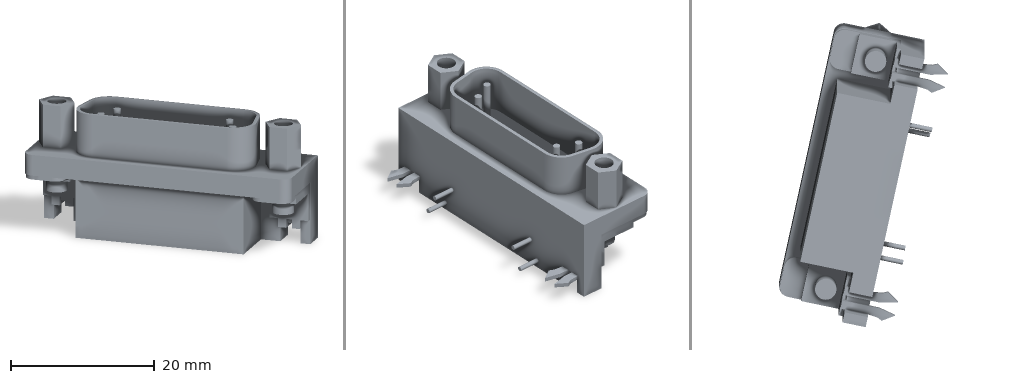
import cadquery as cq
import math


length = 39.2
back_y = 6.3
front_y = -6.27
flange_top = 12.0
flange_bottom = 8.98
flange_corner_radius = 1.4
core_width = 24.7
core_front_y = -4.55
rear_wall_front_y = 3.0

total_height = 18.2
shell_half_width = 12.85
shell_half_depth = 4.65
shell_slant = 10
shell_corner_radius = 3.1
shell_wall = 0.5
shell_floor = 11.52

contact_rows = [(9.7, -1.4, 1.1), (8.27, 1.45, 3.92)]
contact_diameter = 1.0
contact_top = 17.5
tail_diameter = 0.65
tail_end_y = 9.53

screw_x = 16.65
hex_across_flats = 4.5
bore_diameter = 2.65
screw_diameter = 2.98
screw_bottom = 5.3

bracket_width = 5.72
sheet = 0.6
plate_front_y = rear_wall_front_y - sheet
bracket_front_y = -6.2
bracket_corner_radius = 1.5
nut_front_y = -2.9
nut_bottom = 7.53
plate_bottom = 3.53
clip_bottom = 2.25
clip_top = clip_bottom + sheet
clip_width = 3.18
clip_gap = 0.82
slot_width = 2.95
clip_bend_y = 7.72
barb_y = 8.43
barb_half_width = 2.08
leg_flare = 0.15
tip_y = 10.07
tip_half_width = 0.98


def box(x_min, x_max, y_min, y_max, z_min, z_max):
    """Axis-aligned block between the given limits."""
    size = (x_max - x_min, y_max - y_min, z_max - z_min)
    return cq.Workplane("XY").box(*size, centered=False).translate((x_min, y_min, z_min))


def make_housing():
    half = length / 2
    flange = box(-half, half, front_y, back_y, flange_bottom, flange_top)
    flange = flange.edges("|Z and <Y").fillet(flange_corner_radius)
    core = box(-core_width / 2, core_width / 2, core_front_y, back_y, 0, flange_top)
    rear_wall = box(-half, half, rear_wall_front_y, back_y, 0, flange_top)
    housing = flange.union(core).union(rear_wall)
    for x in (-screw_x, screw_x):
        slot = box(x - slot_width / 2, x + slot_width / 2, rear_wall_front_y, back_y, 0, clip_top)
        housing = housing.cut(slot)
    return housing


def make_shell_blank(base):
    """Solid D-shaped prism from the given height to the top, wider towards the front."""
    lean = shell_half_depth * math.tan(math.radians(shell_slant))
    wide = shell_half_width + lean
    narrow = shell_half_width - lean
    outline = [
        (-wide, -shell_half_depth),
        (wide, -shell_half_depth),
        (narrow, shell_half_depth),
        (-narrow, shell_half_depth),
    ]
    blank = cq.Workplane("XY", origin=(0, 0, base)).polyline(outline).close().extrude(total_height - base)
    return blank.edges("|Z").fillet(shell_corner_radius)


def make_shell_cavity():
    """Inside of the shell, the outline moved in by the wall thickness."""
    rim = make_shell_blank(shell_floor).faces(">Z").wires().toPending()
    return rim.offset2D(-shell_wall).extrude(shell_floor - total_height, combine=False)


def make_contact(x, y, tail_z):
    """Straight pin inside the shell and its tail leaving the back face."""
    pin = (
        cq.Workplane("XY", origin=(x, y, flange_bottom))
        .circle(contact_diameter / 2)
        .extrude(contact_top - flange_bottom)
    )
    tail = (
        cq.Workplane("XZ", origin=(x, tail_end_y, tail_z))
        .circle(tail_diameter / 2)
        .extrude(tail_end_y - rear_wall_front_y)
    )
    return pin.union(tail)


def make_jack_screw(x):
    """Hexagonal standoff with a blind bore above the flange, and the screw end below it."""
    height = total_height - flange_top
    across_corners = hex_across_flats / math.cos(math.pi / 6)
    standoff = (
        cq.Workplane("XY", origin=(x, 0, flange_top))
        .polygon(6, across_corners)
        .circle(bore_diameter / 2)
        .extrude(height)
    )
    screw = (
        cq.Workplane("XY", origin=(x, 0, screw_bottom))
        .circle(screw_diameter / 2)
        .extrude(flange_bottom - screw_bottom)
    )
    return standoff.union(screw)


def make_clip_leg(x, side):
    """One barbed leg of a board clip; side is -1 or 1 from the clip's centre."""
    inner = clip_gap / 2
    outer = clip_width / 2
    return (
        cq.Workplane("XY", origin=(x, 0, clip_bottom))
        .moveTo(side * inner, plate_front_y)
        .lineTo(side * outer, plate_front_y)
        .lineTo(side * outer, back_y)
        .lineTo(side * (outer + leg_flare), clip_bend_y)
        .lineTo(side * barb_half_width, barb_y)
        .lineTo(side * tip_half_width, tip_y)
        .lineTo(side * inner, clip_bend_y)
        .close()
        .extrude(sheet)
    )


def make_bracket(x):
    """Angle bracket under the flange, with its nut block and split board clip."""
    left = x - bracket_width / 2
    right = x + bracket_width / 2
    top_plate = box(left, right, bracket_front_y, rear_wall_front_y, flange_bottom - sheet, flange_bottom)
    top_plate = top_plate.edges("|Z and <Y").fillet(bracket_corner_radius)
    nut_block = box(left, right, nut_front_y, rear_wall_front_y, nut_bottom, flange_bottom)
    back_plate = box(left, right, plate_front_y, rear_wall_front_y, plate_bottom, flange_bottom)
    bracket = top_plate.union(nut_block).union(back_plate)
    for side in (-1, 1):
        edges = sorted((x + side * clip_gap / 2, x + side * clip_width / 2))
        strap = box(*edges, plate_front_y, rear_wall_front_y, clip_bottom, plate_bottom)
        bracket = bracket.union(strap).union(make_clip_leg(x, side))
    return bracket


result = make_housing().union(make_shell_blank(flange_top)).cut(make_shell_cavity())
for side in (-1, 1):
    result = result.union(make_jack_screw(side * screw_x))
    result = result.union(make_bracket(side * screw_x))
    for x, y, tail_z in contact_rows:
        result = result.union(make_contact(side * x, y, tail_z))